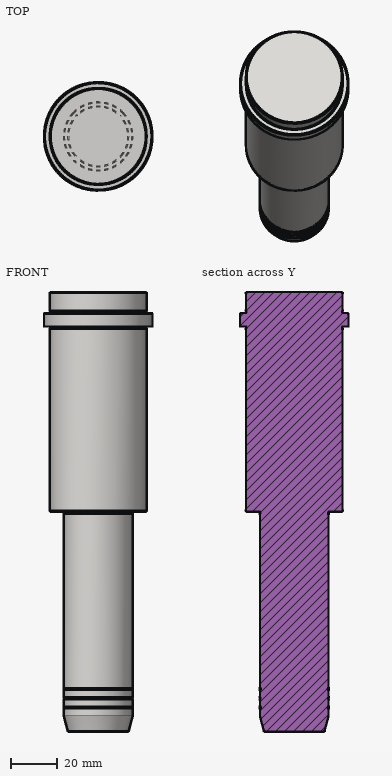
import cadquery as cq
import math

total_length = 190.0

body_diameter = 42.0
body_length = 95.0
body_chamfer = 0.5

collar_diameter = 47.0
collar_top_depth = 9.0
collar_height = 6.0
collar_chamfer = 0.5

relief_width = 1.0
relief_depth = 0.3

shaft_diameter = 30.0

groove_count = 3
groove_pitch = 4.0
groove_width = 1.0
groove_depth = 0.5
lowest_groove_height = 10.5

taper_height = 7.0
taper_angle = 15.0
tip_chamfer = 0.4

body_bottom = total_length - body_length
collar_top = total_length - collar_top_depth
collar_bottom = collar_top - collar_height


def cylinder(diameter, bottom, height):
    """Solid cylinder on the Z axis, starting at the given level."""
    return cq.Workplane("XY").workplane(offset=bottom).circle(diameter / 2).extrude(height)


def groove_ring(diameter, depth, bottom, width):
    """V-section ring, open outward, to cut from a cylinder of the given diameter."""
    radius = diameter / 2
    profile = (
        cq.Workplane("XZ")
        .moveTo(radius, bottom)
        .lineTo(radius - depth, bottom + width / 2)
        .lineTo(radius, bottom + width)
        .close()
    )
    return profile.revolve(360, (0, 0, 0), (0, 1, 0))


def make_shaft():
    """Slim shaft with a conical, chamfered tip."""
    shaft_radius = shaft_diameter / 2
    tip_radius = shaft_radius - taper_height * math.tan(math.radians(taper_angle))
    profile = (
        cq.Workplane("XZ")
        .moveTo(0, 0)
        .lineTo(tip_radius, 0)
        .lineTo(shaft_radius, taper_height)
        .lineTo(shaft_radius, body_bottom)
        .lineTo(0, body_bottom)
        .close()
    )
    shaft = profile.revolve(360, (0, 0, 0), (0, 1, 0))
    return shaft.faces("<Z").edges().chamfer(tip_chamfer)


def make_body():
    """Thick body with a chamfered lower end and upper edge."""
    body = cylinder(body_diameter, body_bottom, body_length)
    body = body.faces("<Z").edges().chamfer(body_chamfer)
    return body.faces(">Z").edges().chamfer(body_chamfer)


def make_collar():
    """Collar with its upper outer edge chamfered."""
    collar = cylinder(collar_diameter, collar_bottom, collar_height)
    return collar.faces(">Z").edges().chamfer(collar_chamfer)


def cut_corner_reliefs(part):
    """Relief grooves in the three inner corners beside the collar and under the body."""
    corners = [
        (body_diameter, collar_top),
        (body_diameter, collar_bottom - relief_width),
        (shaft_diameter, body_bottom - relief_width),
    ]
    for diameter, bottom in corners:
        part = part.cut(groove_ring(diameter, relief_depth, bottom, relief_width))
    return part


def cut_lubrication_grooves(part):
    """Evenly spaced grooves around the shaft, just above the taper."""
    for index in range(groove_count):
        bottom = lowest_groove_height + index * groove_pitch - groove_width / 2
        part = part.cut(groove_ring(shaft_diameter, groove_depth, bottom, groove_width))
    return part


pillar = make_shaft().union(make_body()).union(make_collar())
result = cut_lubrication_grooves(cut_corner_reliefs(pillar))